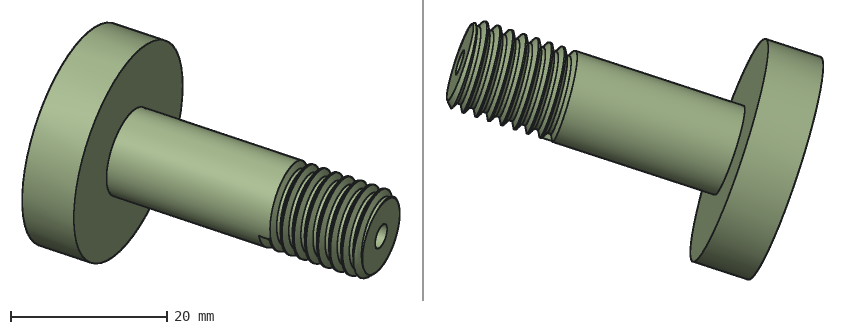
import cadquery as cq
import math

length = 44.0
head_diameter = 30.0
head_thickness = 7.5
shank_diameter = 12.0
end_chamfer = 0.85

bore_diameter = 8.0
bore_depth = 33.0
mouth_chamfer = 0.5
pilot_diameter = 3.3
drill_point_angle = 118.0

groove_start = 30.2
groove_start_angle = 12.0
thread_turns = 8
thread_advance = 14.0
pitch = thread_advance / thread_turns
runout_turns = 1
flank_angle = 30.0
groove_depth = 0.9
groove_width = pitch * 7 / 8
cutter_overshoot = 0.05

shank_radius = shank_diameter / 2


def make_body():
    head = cq.Workplane("YZ").circle(head_diameter / 2).extrude(head_thickness)
    shank = cq.Workplane("YZ").circle(shank_radius).extrude(length)
    return head.union(shank)


def make_bore():
    """Half section of the chamfered bore, cone and pilot hole, turned about X."""
    bore_radius = bore_diameter / 2
    pilot_radius = pilot_diameter / 2
    cone_length = (bore_radius - pilot_radius) / math.tan(math.radians(drill_point_angle / 2))
    section = cq.Workplane("XY").polyline([
        (0, 0),
        (0, bore_radius + mouth_chamfer),
        (mouth_chamfer, bore_radius),
        (bore_depth, bore_radius),
        (bore_depth + cone_length, pilot_radius),
        (length, pilot_radius),
        (length, 0),
    ]).close()
    return section.revolve(360, (0, 0, 0), (1, 0, 0))


def make_thread_groove():
    """Trapezoid swept along a helix about Z, then laid along X."""
    flank_slope = math.tan(math.radians(flank_angle))
    root_radius = shank_radius - groove_depth
    outer_radius = shank_radius + cutter_overshoot
    root_half_width = groove_width / 2 - groove_depth * flank_slope
    outer_half_width = groove_width / 2 + cutter_overshoot * flank_slope
    helix = cq.Wire.makeHelix(pitch, pitch * (thread_turns + runout_turns), root_radius)
    groove = (
        cq.Workplane("XZ")
        .polyline([
            (root_radius, -root_half_width),
            (outer_radius, -outer_half_width),
            (outer_radius, outer_half_width),
            (root_radius, root_half_width),
        ])
        .close()
        .sweep(cq.Workplane(obj=helix), isFrenet=True)
    )
    groove = groove.rotate((0, 0, 0), (0, 1, 0), 90)
    groove = groove.rotate((0, 0, 0), (1, 0, 0), groove_start_angle - 90)
    return groove.translate((groove_start, 0, 0))


def make_end_chamfer():
    """Triangular ring that bevels the shank's free end."""
    outer_radius = shank_radius + cutter_overshoot
    section = cq.Workplane("XY").polyline([
        (length - end_chamfer - cutter_overshoot, outer_radius),
        (length + cutter_overshoot, shank_radius - end_chamfer - cutter_overshoot),
        (length + cutter_overshoot, outer_radius),
    ]).close()
    return section.revolve(360, (0, 0, 0), (1, 0, 0))


threaded_body = make_body().cut(make_thread_groove())
result = threaded_body.cut(make_end_chamfer()).cut(make_bore())